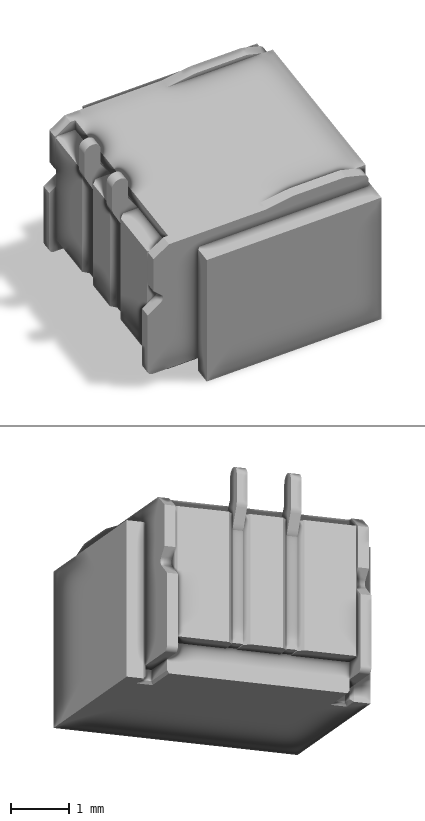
import cadquery as cq


width = 4.5
depth = 4.35
height = 3.7

core_front = 0.505
core_height = 3.1

ear_front = 0.955
slot_length = 0.27
ear_height = 2.795

plate_outer = 1.885
plate_thickness = 0.202
plate_inner = plate_outer - plate_thickness
plate_setback = 0.055
plate_back = depth - plate_setback
plate_bottom = 0.25
plate_neck = 0.112
bump_rise = 0.09
bump_back = 3.848
bump_front = 2.855
bump_end = 2.295
back_corner_height = 3.055
plate_edge_radius = 0.15
plate_bevel_back = 0.415
notch_top = 2.145
notch_apex = (0.35, 1.91)
notch_bottom = 1.64
plate_corner_radius = 0.1

block_front = plate_neck
block_bottom = 0.56
block_top = 2.885

lead_in = 0.055
lead_in_narrow = 0.035

pin_pitch = 1.0
pin_width = 0.2
pin_tip_length = 0.31
pin_tip_radius = pin_tip_length / 2
pin_bottom = 0.575
pin_recess = 0.2
pin_front_bend = 3.005
pin_front_bend_end = 2.595
pin_back_bend = 3.17
pin_front_bend_radius = 0.2
pin_back_bend_radius = 0.125
groove_chamfer = 0.1


def prism(plane, points, length):
    return cq.Workplane(plane).polyline(points).close().extrude(length)


def both_sides(shape):
    return shape.union(shape.mirror("YZ"))


def round_edge(shape, y, z, radius):
    """Round the edge parallel to X that passes through the given Y and Z."""
    reach = 0.0022
    picker = cq.selectors.BoxSelector((-width, y - reach, z - reach), (width, y + reach, z + reach))
    return shape.edges("|X").edges(picker).fillet(radius)


def make_core():
    core = (
        cq.Workplane("XY")
        .box(2 * plate_inner, depth - core_front, core_height, centered=(True, False, False))
        .translate((0, core_front, 0))
    )
    edge_bevel = prism(
        "XZ",
        [
            (plate_inner, 0),
            (plate_inner - lead_in_narrow, 0),
            (plate_inner, lead_in),
        ],
        -depth,
    )
    return core.cut(both_sides(edge_bevel))


def make_ears():
    """Ears, each joined to the core by a web at the end of the slot below the plate."""
    web_front = ear_front + slot_length
    ear = prism(
        "XY",
        [
            (plate_outer + lead_in, ear_front),
            (width / 2, ear_front),
            (width / 2, depth),
            (plate_outer, depth),
            (plate_outer, ear_front + lead_in),
        ],
        ear_height,
    )
    edge_bevel = prism(
        "XZ",
        [
            (plate_outer, 0),
            (plate_outer + lead_in, 0),
            (plate_outer, lead_in),
        ],
        -depth,
    )
    web = prism(
        "YZ",
        [
            (web_front + lead_in, 0),
            (depth, 0),
            (depth, ear_height),
            (web_front, ear_height),
            (web_front, lead_in),
        ],
        lead_in_narrow + plate_thickness + lead_in,
    ).translate((plate_inner - lead_in_narrow, 0, 0))
    return both_sides(ear.cut(edge_bevel).union(web))


def make_plates():
    bump_top = core_height + bump_rise
    outline = [
        (0, plate_bottom),
        (plate_back, plate_bottom),
        (plate_back, back_corner_height),
        (bump_back, bump_top),
        (bump_front, bump_top),
        (bump_end, core_height),
        (plate_bevel_back, core_height),
        (plate_neck, block_top),
        (plate_neck, notch_top),
        notch_apex,
        (0, notch_bottom),
    ]
    plate = prism("YZ", outline, plate_thickness).translate((plate_inner, 0, 0))
    for y, z in outline[2:6]:
        plate = round_edge(plate, y, z, plate_edge_radius)
    for y, z in (notch_apex, outline[0]):
        plate = round_edge(plate, y, z, plate_corner_radius)
    return both_sides(plate)


def make_block():
    block_height = block_top - block_bottom
    block = prism(
        "XY",
        [
            (-plate_inner, core_front),
            (-plate_inner, block_front + lead_in),
            (-plate_inner + lead_in_narrow, block_front),
            (plate_inner - lead_in_narrow, block_front),
            (plate_inner, block_front + lead_in),
            (plate_inner, core_front),
        ],
        block_height,
    )
    half_pin = pin_width / 2
    groove = prism(
        "XY",
        [
            (-half_pin - groove_chamfer, block_front),
            (half_pin + groove_chamfer, block_front),
            (half_pin, block_front + groove_chamfer),
            (half_pin, core_front),
            (-half_pin, core_front),
            (-half_pin, block_front + groove_chamfer),
        ],
        block_height,
    )
    for x in (-pin_pitch / 2, pin_pitch / 2):
        block = block.cut(groove.translate((x, 0, 0)))
    return block.translate((0, 0, block_bottom))


def make_pins():
    tip_base = height - pin_tip_radius
    pin = (
        cq.Workplane("YZ")
        .moveTo(core_front, pin_bottom)
        .lineTo(pin_recess, pin_bottom)
        .lineTo(pin_recess, pin_front_bend_end)
        .lineTo(0, pin_front_bend)
        .lineTo(0, tip_base)
        .threePointArc((pin_tip_radius, height), (pin_tip_length, tip_base))
        .lineTo(pin_tip_length, pin_back_bend)
        .lineTo(core_front, block_top)
        .close()
        .extrude(pin_width / 2, both=True)
    )
    pin = round_edge(pin, 0, pin_front_bend, pin_front_bend_radius)
    pin = round_edge(pin, pin_tip_length, pin_back_bend, pin_back_bend_radius)
    return both_sides(pin.translate((pin_pitch / 2, 0, 0)))


result = make_core().union(make_ears()).union(make_plates()).union(make_block()).union(make_pins())